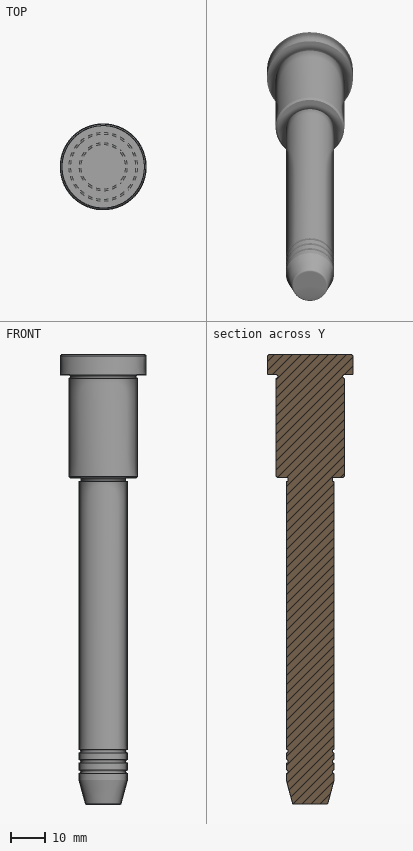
import cadquery as cq
import math

total_length = 131.0

head_diameter = 25.0
head_height = 6.0
head_chamfer = 0.5

sleeve_diameter = 20.0
sleeve_length = 30.0
sleeve_chamfer = 0.5

shaft_diameter = 14.0
taper_length = 7.0
taper_angle = 15.0
tip_edge_radius = 0.5

groove_width = 1.0
groove_depth = 0.5
groove_corner_radius = 0.49
groove_overshoot = 0.2
tip_groove_count = 3
tip_groove_pitch = 3.0
first_tip_groove_z = taper_length + 2.0

head_bottom_z = total_length - head_height
sleeve_bottom_z = head_bottom_z - sleeve_length


def make_cylinder(diameter, bottom_z, height):
    """Cylinder on the Z axis, standing on bottom_z."""
    return cq.Workplane("XY").workplane(offset=bottom_z).circle(diameter / 2).extrude(height)


def make_head():
    """Disc with a chamfered upper rim."""
    head = make_cylinder(head_diameter, head_bottom_z, head_height)
    return head.faces(">Z").edges().chamfer(head_chamfer)


def make_sleeve():
    """Thick upper body with a chamfered lower rim."""
    sleeve = make_cylinder(sleeve_diameter, sleeve_bottom_z, sleeve_length)
    return sleeve.faces("<Z").edges().chamfer(sleeve_chamfer)


def make_shaft():
    """Slender shaft with a conical lead-in and a rounded tip edge."""
    shaft_radius = shaft_diameter / 2
    tip_radius = shaft_radius - taper_length * math.tan(math.radians(taper_angle))
    half_profile = (
        cq.Workplane("XZ")
        .moveTo(0, 0)
        .lineTo(tip_radius, 0)
        .lineTo(shaft_radius, taper_length)
        .lineTo(shaft_radius, sleeve_bottom_z)
        .lineTo(0, sleeve_bottom_z)
        .close()
    )
    shaft = half_profile.revolve(360, (0, 0, 0), (0, 1, 0))
    return shaft.faces("<Z").edges().fillet(tip_edge_radius)


def make_groove(outer_diameter, bottom_z):
    """Square-cornered ring to remove from a cylinder of the given diameter."""
    outer_radius = outer_diameter / 2
    return (
        cq.Workplane("XY")
        .workplane(offset=bottom_z)
        .circle(outer_radius + groove_overshoot)
        .circle(outer_radius - groove_depth)
        .extrude(groove_width)
    )


def make_round_groove(outer_diameter, bottom_z):
    """Ring like make_groove, with its two floor corners rounded."""
    floor_corners = cq.selectors.RadiusNthSelector(0)
    return make_groove(outer_diameter, bottom_z).edges(floor_corners).fillet(groove_corner_radius)


result = make_head().union(make_sleeve()).union(make_shaft())

result = result.cut(make_round_groove(sleeve_diameter, head_bottom_z - groove_width))
result = result.cut(make_groove(shaft_diameter, sleeve_bottom_z - groove_width))

for index in range(tip_groove_count):
    tip_groove_z = first_tip_groove_z + index * tip_groove_pitch
    result = result.cut(make_round_groove(shaft_diameter, tip_groove_z))